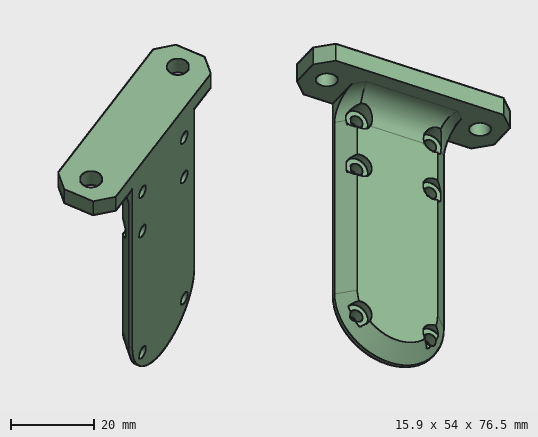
import cadquery as cq
import math

plate_depth = 15.94
plate_length = 54.0
plate_thickness = 5.0
plate_corner_chamfer = 4.0
plate_hole_diameter = 5.3
plate_hole_spacing = 42.0

total_height = 76.5
blade_width = 30.0
blade_thickness = 5.0
blade_chamfer = 4.0
end_radius = blade_width / 2
end_center_z = end_radius - total_height

face_fillet_radius = 7.0
chamfer_fillet_radius = 6.0

screw_hole_diameter = 3.3
counterbore_diameter = 6.1
counterbore_depth = 2.0
screw_spacing_y = 20.2
first_screw_z = -10.5
screw_row_offsets = (0.0, 14.0, 57.1)

plate_bottom_z = -plate_thickness
chamfer_angle = 45.0
chamfer_plane_distance = (blade_width / 2 + blade_thickness - blade_chamfer) / math.sqrt(2)


def make_plate():
    return (
        cq.Workplane("XY")
        .box(plate_depth, plate_length, plate_thickness)
        .edges("|Z")
        .chamfer(plate_corner_chamfer)
        .faces(">Z")
        .workplane()
        .pushPoints([(0, plate_hole_spacing / 2), (0, -plate_hole_spacing / 2)])
        .hole(plate_hole_diameter)
        .translate((-plate_depth / 2, 0, -plate_thickness / 2))
    )


def make_blade():
    """Round-ended slab whose front edge is chamfered along both sides and the lower end."""
    half_width = blade_width / 2
    slab = (
        cq.Workplane("YZ")
        .moveTo(-half_width, plate_bottom_z)
        .lineTo(-half_width, end_center_z)
        .threePointArc((0, -total_height), (half_width, end_center_z))
        .lineTo(half_width, plate_bottom_z)
        .close()
        .extrude(-blade_thickness)
    )
    return slab.faces("<X").edges("not >Z").chamfer(blade_chamfer)


def make_flared_wall(face_distance, radius, turn):
    """Wall whose front face flares out into the plate underside, turned about Z.

    The front face stands at face_distance from the Z axis before the fillet starts.
    """
    reach = plate_length
    flare_start_z = plate_bottom_z - radius
    arc_inset = radius * (1 - math.sqrt(0.5))
    return (
        cq.Workplane("XZ")
        .moveTo(reach, plate_bottom_z)
        .lineTo(-face_distance - radius, plate_bottom_z)
        .threePointArc(
            (-face_distance - arc_inset, plate_bottom_z - arc_inset),
            (-face_distance, flare_start_z),
        )
        .lineTo(-face_distance, -total_height)
        .lineTo(reach, -total_height)
        .close()
        .extrude(reach, both=True)
        .rotate((0, 0, 0), (0, 0, 1), turn)
    )


def make_fillet_block():
    """Top of the blade, flared along its front face and both chamfers."""
    block = cq.Workplane("XY").box(
        plate_depth, blade_width, face_fillet_radius, centered=(False, True, False)
    )
    block = block.translate((-plate_depth, 0, plate_bottom_z - face_fillet_radius))
    block = block.intersect(make_flared_wall(blade_thickness, face_fillet_radius, 0))
    for turn in (chamfer_angle, -chamfer_angle):
        chamfer_wall = make_flared_wall(chamfer_plane_distance, chamfer_fillet_radius, turn)
        block = block.intersect(chamfer_wall)
    return block


def make_screw_cutter(y, z):
    """Through hole with a counterbore sunk from the front face; open ahead of that face."""
    seat_x = counterbore_depth - blade_thickness
    hole = cq.Workplane("YZ", origin=(seat_x, y, z)).circle(screw_hole_diameter / 2).extrude(-seat_x)
    counterbore = (
        cq.Workplane("YZ", origin=(seat_x, y, z))
        .circle(counterbore_diameter / 2)
        .extrude(-plate_depth - seat_x)
    )
    return hole.union(counterbore)


result = make_plate().union(make_blade()).union(make_fillet_block())
for row_offset in screw_row_offsets:
    for side in (-1, 1):
        cutter = make_screw_cutter(side * screw_spacing_y / 2, first_screw_z - row_offset)
        result = result.cut(cutter)